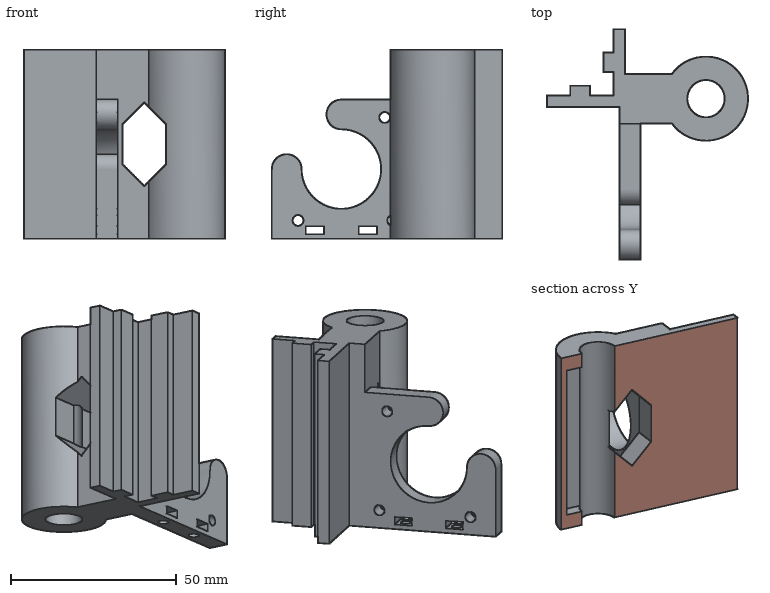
import cadquery as cq

TOTAL_X = 60.65
TOTAL_Y = 69.45
HEIGHT = 57.0

FLANGE_REACH = 20.0
FLANGE_THICKNESS = 3.55
RIB_WIDTH = 6.0
RIB_HEIGHT = 3.0
CORNER_X = FLANGE_REACH
CORNER_Y = TOTAL_Y - FLANGE_REACH
RIB_CENTER = FLANGE_REACH / 2

TUBE_RADIUS = 12.7
BORE_DIAMETER = 11.2
TUBE_X = TOTAL_X - TUBE_RADIUS
TUBE_Y = 48.5
WEB_WIDTH = 15.0

WINDOW_X = 36.25
WINDOW_WIDTH = 13.05
WINDOW_STRAIGHT = 12.0

RECESS_WIDTH = WEB_WIDTH / 2
RECESS_WALL = 2.0
RECESS_END_MARGIN = 4.65

PLATE_X = 21.8
PLATE_THICKNESS = 6.4
CRADLE_RADIUS = 11.95
TIP_RADIUS = 4.5
CRADLE_Y = 2 * TIP_RADIUS + CRADLE_RADIUS
CRADLE_Z = 21.05
PLATE_TOP = CRADLE_Z + CRADLE_RADIUS + 2 * TIP_RADIUS

SCREW_DIAMETER = 3.2
SCREW_CENTERS = [(34.05, 36.6), (36.5, 5.55), (7.9, 5.55)]
SLOT_LENGTH = 5.4
SLOT_HEIGHT = 2.35
SLOT_Z = 2.65
SLOT_OFFSET = 8.0
SLOT_CENTERS = [(CRADLE_Y + side * SLOT_OFFSET, SLOT_Z) for side in (-1, 1)]


def column(x_min, x_max, y_min, y_max):
    """Full-height rectangular block."""
    block = cq.Workplane("XY").box(x_max - x_min, y_max - y_min, HEIGHT, centered=False)
    return block.translate((x_min, y_min, 0))


def make_flanges():
    side = column(0, CORNER_X + FLANGE_THICKNESS, CORNER_Y - FLANGE_THICKNESS, CORNER_Y)
    back = column(CORNER_X, CORNER_X + FLANGE_THICKNESS, CORNER_Y - FLANGE_THICKNESS, TOTAL_Y)
    rib_start = RIB_CENTER - RIB_WIDTH / 2
    rib_end = RIB_CENTER + RIB_WIDTH / 2
    side_rib = column(rib_start, rib_end, CORNER_Y, CORNER_Y + RIB_HEIGHT)
    back_rib = column(CORNER_X - RIB_HEIGHT, CORNER_X, TOTAL_Y - rib_end, TOTAL_Y - rib_start)
    return side.union(back).union(side_rib).union(back_rib)


def make_tube_and_web():
    tube = cq.Workplane("XY").center(TUBE_X, TUBE_Y).circle(TUBE_RADIUS).extrude(HEIGHT)
    web = column(PLATE_X, TUBE_X, TUBE_Y - WEB_WIDTH / 2, TUBE_Y + WEB_WIDTH / 2)
    bore = cq.Workplane("XY").center(TUBE_X, TUBE_Y).circle(BORE_DIAMETER / 2).extrude(HEIGHT)
    return tube.union(web).cut(bore)


def make_window():
    half_width = WINDOW_WIDTH / 2
    half_straight = WINDOW_STRAIGHT / 2
    half_height = half_straight + half_width
    return (
        cq.Workplane("XZ", origin=(WINDOW_X, TUBE_Y, HEIGHT / 2))
        .polyline([
            (0, half_height),
            (half_width, half_straight),
            (half_width, -half_straight),
            (0, -half_height),
            (-half_width, -half_straight),
            (-half_width, half_straight),
        ])
        .close()
        .extrude(TUBE_RADIUS, both=True)
    )


def make_bore_recess():
    length = TUBE_RADIUS - RECESS_WALL
    recess_height = HEIGHT - 2 * RECESS_END_MARGIN
    recess = cq.Workplane("XY").box(length, RECESS_WIDTH, recess_height, centered=(False, True, True))
    return recess.translate((TUBE_X, TUBE_Y, HEIGHT / 2))


def make_hook_plate():
    plane = cq.Workplane("YZ", origin=(PLATE_X, 0, 0))
    plate = (
        plane.lineTo(TUBE_Y, 0)
        .lineTo(TUBE_Y, PLATE_TOP)
        .lineTo(CRADLE_Y, PLATE_TOP)
        .threePointArc(
            (CRADLE_Y - TIP_RADIUS, PLATE_TOP - TIP_RADIUS),
            (CRADLE_Y, PLATE_TOP - 2 * TIP_RADIUS),
        )
        .radiusArc((CRADLE_Y + CRADLE_RADIUS, CRADLE_Z), CRADLE_RADIUS)
        .threePointArc(
            (CRADLE_Y, CRADLE_Z - CRADLE_RADIUS),
            (CRADLE_Y - CRADLE_RADIUS, CRADLE_Z),
        )
        .threePointArc((TIP_RADIUS, CRADLE_Z + TIP_RADIUS), (0, CRADLE_Z))
        .close()
        .extrude(PLATE_THICKNESS)
    )
    screws = plane.pushPoints(SCREW_CENTERS).circle(SCREW_DIAMETER / 2).extrude(PLATE_THICKNESS)
    slots = plane.pushPoints(SLOT_CENTERS).rect(SLOT_LENGTH, SLOT_HEIGHT).extrude(PLATE_THICKNESS)
    nut_screws = (
        cq.Workplane("XY")
        .pushPoints([(PLATE_X + PLATE_THICKNESS / 2, slot_y) for slot_y, _ in SLOT_CENTERS])
        .circle(SCREW_DIAMETER / 2)
        .extrude(SLOT_Z)
    )
    return plate.cut(screws).cut(slots).cut(nut_screws)


body = make_flanges().union(make_tube_and_web()).union(make_hook_plate())
result = body.cut(make_window()).cut(make_bore_recess())